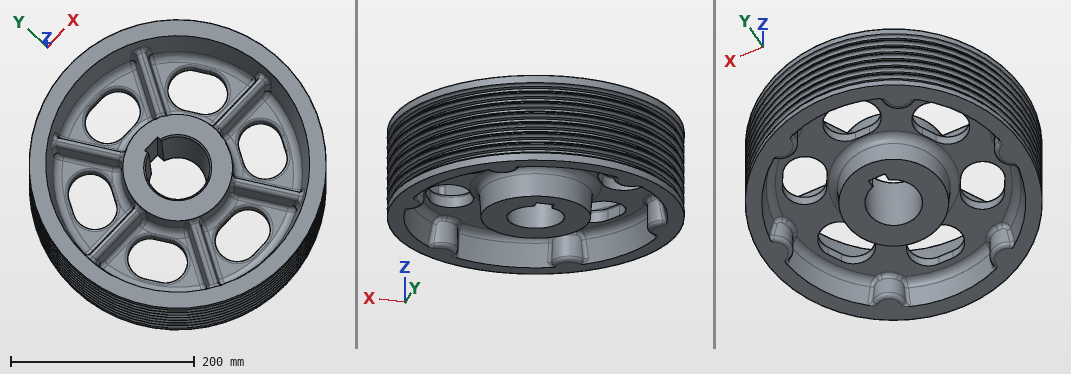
import cadquery as cq
import math

RIM_RADIUS = 161.5
RIM_HEIGHT = 100.0
RIM_INNER_RADIUS = 143.5
RIM_DRAFT = math.radians(10.5)

GROOVE_COUNT = 7
GROOVE_PITCH = 12.0
GROOVE_SEAT_DIAMETER = 10.25
SEAT_CENTER_RADIUS = 161.9
FLANK_ANGLE = math.radians(20.0)
UNDERCUT_RADIUS = 151.5
UNDERCUT_WIDTH = 5.2

HUB_HEIGHT = 83.0
HUB_END_RADIUS = 59.6
HUB_DRAFT = math.radians(4.0)
WEB_THICKNESS = 15.0
WEB_FILLET = 10.0
PICK_MARGIN = 1.0

BORE_TOP_RADIUS = 35.0
BORE_BOTTOM_RADIUS = 31.25
BORE_CHAMFER = 2.0
KEY_WIDTH = 20.0
KEY_DEPTH_RADIUS = 39.3

SPOKE_COUNT = 6
SPOKE_ANGLE = 360 / SPOKE_COUNT
RIB_TOP_BELOW_HUB = 4.2
RIB_TOP_WIDTH = 9.1
RIB_DRAFT = math.radians(8.0)
RIB_FILLET = 5.0
RIB_EMBED = 4.0

PAD_CENTER_RADIUS = 146.5
PAD_RADIUS = 19.7

WINDOW_CENTER_RADIUS = 96.7
WINDOW_WIDTH = 65.4
WINDOW_HEIGHT = 48.2
WINDOW_FILLET = 3.0

web_top_z = RIM_HEIGHT / 2
web_bottom_z = web_top_z - WEB_THICKNESS
web_middle_z = (web_top_z + web_bottom_z) / 2
rib_top_z = HUB_HEIGHT - RIB_TOP_BELOW_HUB


def hub_radius(z):
    """Radius of the hub's drafted outer wall at height z."""
    return HUB_END_RADIUS + min(z, HUB_HEIGHT - z) * math.tan(HUB_DRAFT)


def rim_inner_radius(z):
    """Radius of the rim's drafted inner wall at height z."""
    distance_to_end = min(z, RIM_HEIGHT - z)
    return RIM_INNER_RADIUS - distance_to_end * math.tan(RIM_DRAFT)


def make_blank():
    """Rim, web and hub turned in one piece, with filleted web corners."""
    outline = [
        (0, 0),
        (hub_radius(0), 0),
        (hub_radius(web_bottom_z), web_bottom_z),
        (rim_inner_radius(web_bottom_z), web_bottom_z),
        (rim_inner_radius(0), 0),
        (RIM_RADIUS, 0),
        (RIM_RADIUS, RIM_HEIGHT),
        (rim_inner_radius(RIM_HEIGHT), RIM_HEIGHT),
        (rim_inner_radius(web_top_z), web_top_z),
        (hub_radius(web_top_z), web_top_z),
        (hub_radius(HUB_HEIGHT), HUB_HEIGHT),
        (0, HUB_HEIGHT),
    ]
    blank = cq.Workplane("XZ").polyline(outline).close().revolve(360, (0, 0, 0), (0, 1, 0))
    corners = cq.selectors.BoxSelector(
        (-RIM_RADIUS, -RIM_RADIUS, web_bottom_z - PICK_MARGIN),
        (RIM_RADIUS, RIM_RADIUS, web_top_z + PICK_MARGIN),
        boundingbox=True,
    )
    blank = blank.edges(corners).fillet(WEB_FILLET)
    return blank.rotate((0, 0, 0), (0, 0, 1), SPOKE_ANGLE / 2)


def add_pads(body):
    """Round pads on the rim's inner wall below the web, one under each rib."""
    pads = (
        cq.Workplane("XY")
        .polarArray(PAD_CENTER_RADIUS, 0, 360, SPOKE_COUNT)
        .circle(PAD_RADIUS)
        .extrude(web_middle_z)
    )
    inside_rim = cq.Workplane("XY").circle(RIM_INNER_RADIUS + RIB_EMBED).extrude(web_middle_z)
    return body.union(pads.intersect(inside_rim))


def make_rib():
    """One drafted rib along +X, standing on the upper side of the web."""
    rib_height = rib_top_z - web_middle_z
    half_top = RIB_TOP_WIDTH / 2
    half_base = half_top + rib_height * math.tan(RIB_DRAFT)
    start = HUB_END_RADIUS - RIB_EMBED
    end = RIM_INNER_RADIUS + RIB_EMBED
    section = [
        (-half_base, 0),
        (half_base, 0),
        (half_top, rib_height),
        (-half_top, rib_height),
    ]
    rib = (
        cq.Workplane("YZ", origin=(start, 0, web_middle_z))
        .polyline(section)
        .close()
        .extrude(end - start)
    )
    return rib.edges("|X and >Z").fillet(RIB_FILLET)


def rib_root_edges(body):
    """Edges where the rib along +X meets the hub, the rim and the web."""
    half_width = RIB_TOP_WIDTH
    hub_end = cq.selectors.BoxSelector(
        (HUB_END_RADIUS - PICK_MARGIN, -half_width, 0),
        (HUB_END_RADIUS + WEB_FILLET, half_width, HUB_HEIGHT),
    )
    rim_end = cq.selectors.BoxSelector(
        (RIM_INNER_RADIUS - 2 * WEB_FILLET, -half_width, 0),
        (RIM_INNER_RADIUS, half_width, HUB_HEIGHT),
    )
    web_sides = cq.selectors.BoxSelector(
        (HUB_END_RADIUS, -half_width, web_bottom_z - PICK_MARGIN),
        (RIM_INNER_RADIUS, half_width, web_top_z + PICK_MARGIN),
    )
    return body.edges(hub_end + rim_end + web_sides)


def add_ribs(body):
    """Adds each rib along +X, then turns the body on to the next spoke."""
    rib = make_rib()
    for _ in range(SPOKE_COUNT):
        body = rib_root_edges(body.union(rib)).fillet(RIB_FILLET)
        body = body.rotate((0, 0, 0), (0, 0, 1), SPOKE_ANGLE)
    return body


def window_rim_edges(body):
    """Upper edges of the window on +Y."""
    half_width = WINDOW_WIDTH / 2 + PICK_MARGIN
    half_height = WINDOW_HEIGHT / 2 + PICK_MARGIN
    rim = cq.selectors.BoxSelector(
        (-half_width, WINDOW_CENTER_RADIUS - half_height, web_top_z - PICK_MARGIN),
        (half_width, WINDOW_CENTER_RADIUS + half_height, web_top_z + PICK_MARGIN),
    )
    return body.edges(rim)


def cut_windows(body):
    """Cuts and rounds each window on +Y, then turns the body on to the next spoke."""
    window = (
        cq.Workplane("XY", origin=(0, WINDOW_CENTER_RADIUS, web_bottom_z))
        .slot2D(WINDOW_WIDTH, WINDOW_HEIGHT)
        .extrude(HUB_HEIGHT - web_bottom_z)
    )
    for _ in range(SPOKE_COUNT):
        body = window_rim_edges(body.cut(window)).fillet(WINDOW_FILLET)
        body = body.rotate((0, 0, 0), (0, 0, 1), SPOKE_ANGLE)
    return body


def groove_section(z):
    """Section of one groove at height z: sloped flanks, round seat and square undercut."""
    seat_radius = GROOVE_SEAT_DIAMETER / 2
    tangent_radius = SEAT_CENTER_RADIUS - seat_radius * math.sin(FLANK_ANGLE)
    tangent_half = seat_radius * math.cos(FLANK_ANGLE)
    mouth_half = tangent_half + (RIM_RADIUS - tangent_radius) * math.tan(FLANK_ANGLE)
    undercut_half = UNDERCUT_WIDTH / 2
    undercut_angle = math.asin(undercut_half / seat_radius)
    undercut_top = SEAT_CENTER_RADIUS - seat_radius * math.cos(undercut_angle)
    middle_angle = (undercut_angle + math.pi / 2 - FLANK_ANGLE) / 2
    middle_radius = SEAT_CENTER_RADIUS - seat_radius * math.cos(middle_angle)
    middle_half = seat_radius * math.sin(middle_angle)
    return (
        cq.Workplane("XZ")
        .moveTo(UNDERCUT_RADIUS, z - undercut_half)
        .lineTo(undercut_top, z - undercut_half)
        .threePointArc((middle_radius, z - middle_half), (tangent_radius, z - tangent_half))
        .lineTo(RIM_RADIUS, z - mouth_half)
        .lineTo(RIM_RADIUS, z + mouth_half)
        .lineTo(tangent_radius, z + tangent_half)
        .threePointArc((middle_radius, z + middle_half), (undercut_top, z + undercut_half))
        .lineTo(UNDERCUT_RADIUS, z + undercut_half)
        .close()
    )


def cut_grooves(body):
    """Evenly spaced rope grooves, centred on the rim's height."""
    first_z = (RIM_HEIGHT - (GROOVE_COUNT - 1) * GROOVE_PITCH) / 2
    for i in range(GROOVE_COUNT):
        section = groove_section(first_z + i * GROOVE_PITCH)
        body = body.cut(section.revolve(360, (0, 0, 0), (0, 1, 0)))
    return body


def cut_bore(body):
    """Tapered bore, chamfered at its wide upper end, with a straight keyway on the +Y side."""
    profile = [
        (0, 0),
        (BORE_BOTTOM_RADIUS, 0),
        (BORE_TOP_RADIUS, HUB_HEIGHT - BORE_CHAMFER),
        (BORE_TOP_RADIUS + BORE_CHAMFER, HUB_HEIGHT),
        (0, HUB_HEIGHT),
    ]
    bore = cq.Workplane("XZ").polyline(profile).close().revolve(360, (0, 0, 0), (0, 1, 0))
    keyway = (
        cq.Workplane("XY")
        .rect(KEY_WIDTH, KEY_DEPTH_RADIUS, centered=(True, False))
        .extrude(HUB_HEIGHT)
    )
    return body.cut(bore).cut(keyway)


body = make_blank()
body = add_pads(body)
body = cut_grooves(body)
body = add_ribs(body)
body = cut_windows(body)
result = cut_bore(body)